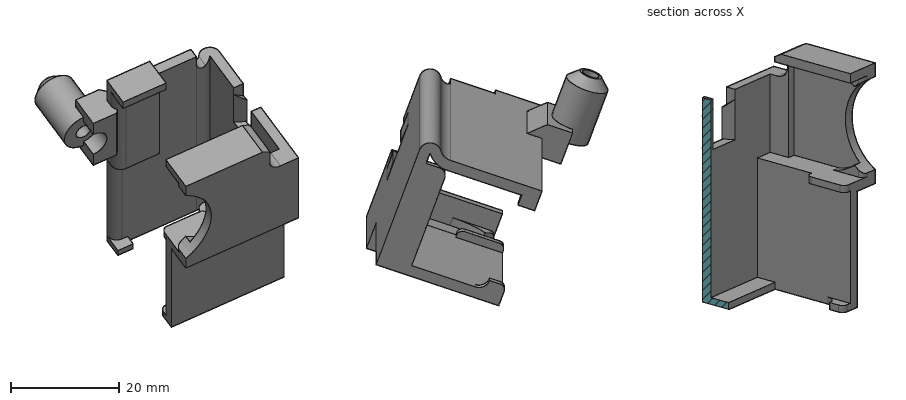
import cadquery as cq
import math

height = 46.8
depth = 24.1
wall = 2.05
plate = 1.85
tab = 1.4
right_outer = 29.3
right_inner = 21.9
lower_outer = right_inner + wall
upper_inner = 25.7
back_inner = depth - wall

shelf_bottom = 22.95
shelf_top = 25.0
back_top = 40.5
side_back = 17.95
shoulder_radius = 2.25
lip_depth = 9.15
top_bevel_depth = 1.6
top_bevel_drop = 0.85

bend_x = -0.05
bend_radius = wall

pin_y = -4.95
pin_z = 34.9
pin_radius = 8.2 / 2
pin_tip_radius = 2.1
pin_cone_start = -10.95
pin_tip = -12.9
bore_radius = 3.2 / 2
counterbore_radius = 2.9
block_left = -2.9
bracket_right = 3.6
block_height = 12.2
block_rear = 2.95

slot_left = 8.8
slot_right = 15.3
slot_bottom = 30.5
lug_reach = 1.15
lug_top = 38.5
lug_drop = 1.75
lug_back = depth + 0.15
lug_root = 2.57

relief_x = 27.3
relief_rear = 17.65
relief_radius = height - plate - pin_z
relief_y = 8.42
mouth_radius = 10.45


def box(x0, x1, y0, y1, z0, z1):
    return cq.Workplane("XY").box(x1 - x0, y1 - y0, z1 - z0, centered=False).translate((x0, y0, z0))


def x_cylinder(radius, x0, x1, y, z):
    return cq.Workplane("YZ", origin=(x0, y, z)).circle(radius).extrude(x1 - x0)


def side_envelope():
    """Side outline shared by both walls, with a hollow shoulder behind the tall part."""
    shoulder_y = side_back + shoulder_radius
    shoulder_z = back_top + shoulder_radius
    middle = shoulder_radius * math.sqrt(0.5)
    return (
        cq.Workplane("YZ", origin=(-bend_radius * 2, 0, 0))
        .lineTo(depth, 0)
        .lineTo(depth, back_top)
        .lineTo(shoulder_y, back_top)
        .threePointArc((shoulder_y - middle, shoulder_z - middle), (side_back, shoulder_z))
        .lineTo(side_back, height - top_bevel_drop)
        .lineTo(side_back - top_bevel_depth, height)
        .lineTo(0, height)
        .close()
        .extrude(right_outer + 2 * bend_radius)
    )


def left_wall_and_bend():
    """Left wall joined to the back plate by an S-shaped rolled corner."""
    diagonal = math.sqrt(0.5)
    rise = back_inner - side_back
    sweep_radius = (rise**2 + bend_x**2 - bend_radius**2) / (2 * (bend_radius - bend_x))
    turn = math.asin(rise / (sweep_radius + bend_radius))

    def sweep_point(radius, angle):
        return (radius * math.cos(angle) - sweep_radius, side_back + radius * math.sin(angle))

    bend_angle = (turn - math.pi / 2) / 2
    bend_middle = (
        bend_x - bend_radius * math.cos(bend_angle),
        back_inner - bend_radius * math.sin(bend_angle),
    )
    inner_radius = sweep_radius + wall
    return (
        cq.Workplane("XY")
        .lineTo(0, side_back)
        .threePointArc(sweep_point(sweep_radius, turn / 2), sweep_point(sweep_radius, turn))
        .threePointArc(bend_middle, (bend_x, depth))
        .lineTo(wall, depth)
        .lineTo(wall, back_inner)
        .lineTo(bend_x, back_inner)
        .threePointArc(sweep_point(inner_radius, turn / 2), (wall, side_back))
        .lineTo(wall, wall)
        .threePointArc((wall * diagonal, wall * (1 - diagonal)), (0, 0))
        .close()
        .extrude(height - plate)
    )


def left_bracket():
    """Thickened upper front of the left wall, with its top plate and bottom tab."""
    rounding = 2.05
    plate_right = 6.05
    tab_right = 4.1
    tab_depth = 3.28
    post_bottom = 23.65
    post = box(0, bracket_right, 0, lip_depth, post_bottom, height - plate)
    post = post.edges("|Z and >X and <Y").fillet(rounding)
    top = box(0, plate_right, 0, lip_depth, height - plate, height)
    bottom = box(0, tab_right, 0, tab_depth, 0, tab)
    return post.union(top).union(bottom)


def back_plate():
    lower = box(bend_x, lower_outer, back_inner, depth, 0, back_top)
    upper = box(bend_x, right_outer, back_inner, depth, shelf_bottom, back_top)
    slot = box(slot_left, slot_right, back_inner, depth, slot_bottom, back_top)
    return lower.union(upper).cut(slot)


def slot_lug(edge, direction):
    """Sloping catch along one side of the slot; direction points into the slot."""
    tip = edge + direction * lug_reach
    wedge = (
        cq.Workplane("XY", origin=(0, 0, slot_bottom))
        .moveTo(edge, back_inner)
        .lineTo(tip, lug_back)
        .lineTo(edge - direction * lug_root, depth)
        .lineTo(edge, depth)
        .close()
        .extrude(lug_top - slot_bottom)
    )
    slope = (
        cq.Workplane("YZ")
        .moveTo(back_inner, slot_bottom)
        .lineTo(lug_back, slot_bottom)
        .lineTo(lug_back, lug_top - lug_drop)
        .lineTo(back_inner, lug_top)
        .close()
        .extrude(right_outer)
    )
    return wedge.intersect(slope)


def right_wall():
    """Stepped right wall with a shelf, a top plate, a recess and a scooped front."""
    front_rounding = 1.1
    upper = box(upper_inner, right_outer, 0, depth, shelf_bottom, height - plate)
    upper = upper.edges("|Z and <X and <Y").fillet(front_rounding)
    relief = x_cylinder(relief_radius, upper_inner, relief_x, relief_y, pin_z)
    relief = relief.intersect(box(upper_inner, relief_x, 0, relief_rear, 0, height))
    relief = relief.union(
        box(upper_inner, relief_x, relief_y, relief_rear, shelf_top, height - plate)
    )
    scoop = x_cylinder(mouth_radius, upper_inner, right_outer, pin_y, pin_z)
    lower = box(right_inner, lower_outer, 0, depth, 0, shelf_bottom)
    shelf = box(right_inner, right_outer, 0, depth, shelf_bottom, shelf_top)
    top = box(right_inner, right_outer, 0, depth, height - plate, height)
    return upper.cut(relief).union(lower).union(shelf).cut(scoop).union(top)


def right_lips():
    """Rounded lip along the shelf and a small flared tab at the bottom."""
    corner = 1.1
    shelf_lip_left = 20.3
    tab_left = 19.85
    tab_depth = 3.28
    shelf_lip = box(shelf_lip_left, right_inner, 0, lip_depth, shelf_top - tab, shelf_top)
    shelf_lip = shelf_lip.edges("|Z and <X").fillet(corner)
    bottom_tab = box(tab_left, right_inner, 0, tab_depth, 0, tab)
    bottom_tab = bottom_tab.edges("|Z and <X and <Y").fillet(corner)
    flare_radius = right_inner - tab_left
    flare = box(tab_left, right_inner, tab_depth, tab_depth + flare_radius, 0, tab)
    flare = flare.cut(
        cq.Workplane("XY", origin=(tab_left, tab_depth + flare_radius, 0))
        .circle(flare_radius)
        .extrude(tab)
    )
    return shelf_lip.union(bottom_tab).union(flare)


def rear_floor():
    """Narrow bottom tab along the back plate."""
    front = 17.85
    corner = 1.65
    floor = box(wall, right_inner, front, back_inner, 0, tab)
    return floor.edges("|Z and <X and <Y").fillet(corner)


def pin_block():
    """Bevelled block on the front edge of the left wall."""
    return (
        cq.Workplane("XY", origin=(0, 0, pin_z - block_height / 2))
        .moveTo(block_left, pin_y)
        .lineTo(bracket_right, pin_y)
        .lineTo(bracket_right, 0)
        .lineTo(0, block_rear)
        .lineTo(block_left, 0)
        .close()
        .extrude(block_height)
    )


def pin():
    profile = [
        (pin_tip, 0),
        (pin_tip, pin_tip_radius),
        (pin_cone_start, pin_radius),
        (0, pin_radius),
        (0, 0),
    ]
    solid = cq.Workplane("XY").polyline(profile).close().revolve(360, (0, 0, 0), (1, 0, 0))
    return solid.translate((0, pin_y, pin_z))


walls = left_wall_and_bend().union(right_wall()).union(back_plate())
body = walls.intersect(side_envelope())
for feature in (left_bracket(), right_lips(), rear_floor(), pin_block(), pin()):
    body = body.union(feature)
body = body.union(slot_lug(slot_left, 1)).union(slot_lug(slot_right, -1))

bore = x_cylinder(bore_radius, pin_tip, bracket_right, pin_y, pin_z)
counterbore = x_cylinder(counterbore_radius, 0, bracket_right, pin_y, pin_z)
result = body.cut(bore).cut(counterbore)